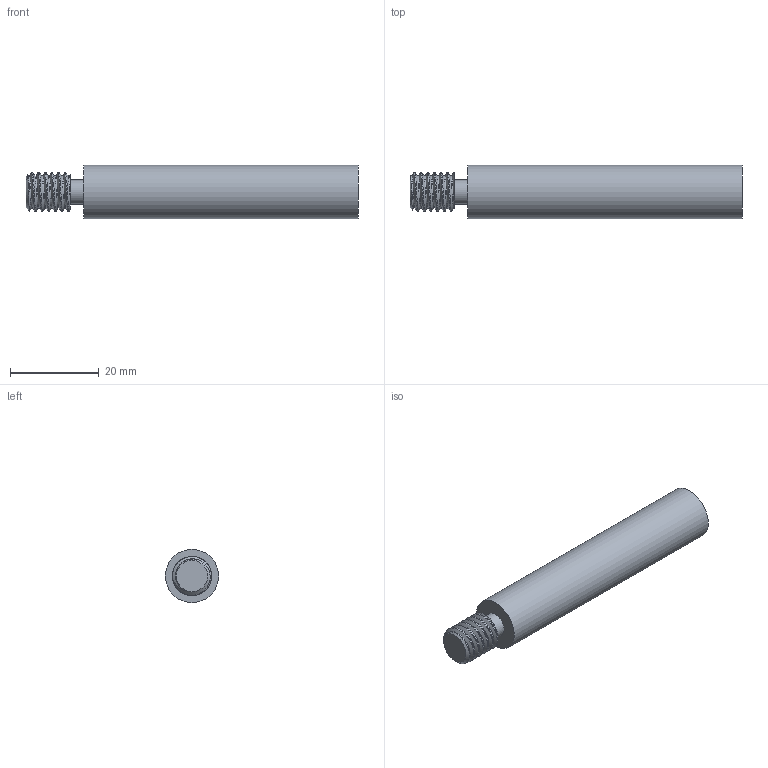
import cadquery as cq

total_length = 75.0
body_diameter = 12.0
neck_diameter = 5.5
neck_length = 3.0
thread_length = 10.0

thread_major_diameter = 8.8
thread_minor_diameter = 7.4
thread_pitch = 1.5
crest_width = 0.25
ridge_base_width = 1.15
tip_diameter = 7.1
thread_start_x = -0.875
ridge_root_overlap = 0.3

major_radius = thread_major_diameter / 2
minor_radius = thread_minor_diameter / 2
trim_diameter = body_diameter
tip_chamfer = (trim_diameter - tip_diameter) / 2


def rod_section(start_x, length, diameter):
    """Cylinder on the X axis."""
    return cq.Workplane("YZ").workplane(offset=start_x).circle(diameter / 2).extrude(length)


def thread_ridge():
    """Trapezoidal ridge swept along a helix about the X axis, longer than the thread."""
    helix_height = thread_length - thread_start_x + thread_pitch
    helix = cq.Wire.makeHelix(thread_pitch, helix_height, minor_radius)
    flank_slope = (ridge_base_width - crest_width) / 2 / (major_radius - minor_radius)
    half_crest = crest_width / 2
    half_root = ridge_base_width / 2 + flank_slope * ridge_root_overlap
    root_radius = minor_radius - ridge_root_overlap
    ridge = (
        cq.Workplane("XZ")
        .polyline([
            (root_radius, -half_root),
            (major_radius, -half_crest),
            (major_radius, half_crest),
            (root_radius, half_root),
        ])
        .close()
        .sweep(cq.Workplane(helix), isFrenet=True)
    )
    return ridge.rotate((0, 0, 0), (0, 1, 0), 90).translate((thread_start_x, 0, 0))


def threaded_tip():
    """Core and ridge, trimmed to the chamfered tip and the flat rear face of the thread."""
    envelope = rod_section(0, thread_length, trim_diameter).faces("<X").chamfer(tip_chamfer)
    core = rod_section(0, thread_length, thread_minor_diameter).intersect(envelope)
    ridge = thread_ridge().intersect(envelope)
    return core.union(ridge)


body_start_x = thread_length + neck_length
neck = rod_section(thread_length, neck_length, neck_diameter)
body = rod_section(body_start_x, total_length - body_start_x, body_diameter)

result = threaded_tip().union(neck).union(body)